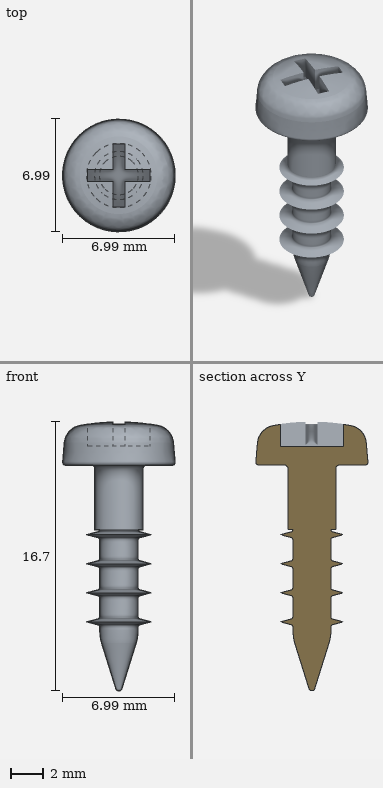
import cadquery as cq
import math

overall_length = 16.69

underside_z = 14.0
head_radius = 7.03 / 2
wall_taper = 5.0
dome_radius = 13.35
shoulder_round = 1.2
rim_round = 0.2
neck_fillet = 0.2

recess_length = 3.89
recess_width = 0.75
recess_depth = 1.5

shank_radius = 1.5
shank_length = 4.0
core_radius = 1.2

ring_count = 4
ring_pitch = 1.8
ring_radius = 2.0
ring_flank = 15.0
ring_fillet = 0.1
first_ring_z = 9.7

point_start_z = 3.79
point_half_angle = 17.4
tip_radius = 0.2

inner_corner_radius = recess_width / math.sqrt(2)
dome_center_z = overall_length - math.sqrt(dome_radius**2 - inner_corner_radius**2)
apex_z = dome_center_z + dome_radius
shank_end_z = underside_z - shank_length


def on_circle(center_r, center_z, radius, degrees):
    """Point on a circle in the radial plane, with the angle measured from the outward direction."""
    angle = math.radians(degrees)
    return center_r + radius * math.cos(angle), center_z + radius * math.sin(angle)


def revolve(profile):
    """Turn a closed radial profile around the screw axis."""
    return profile.close().revolve(360, (0, 0), (0, 1))


def make_head():
    slope = math.tan(math.radians(wall_taper))
    base_height = underside_z - dome_center_z
    a = 1 + slope**2
    b = base_height - head_radius * slope
    c = head_radius**2 + base_height**2 - dome_radius**2
    wall_height = (-b + math.sqrt(b**2 - a * c)) / a
    wall_top = (head_radius - wall_height * slope, underside_z + wall_height)
    dome_edge_angle = math.degrees(math.acos(wall_top[0] / dome_radius))
    dome_middle = on_circle(0, dome_center_z, dome_radius, (90 + dome_edge_angle) / 2)
    head = revolve(
        cq.Workplane("XZ")
        .moveTo(0, underside_z)
        .lineTo(head_radius, underside_z)
        .lineTo(*wall_top)
        .threePointArc(dome_middle, (0, apex_z))
    )
    head = head.edges("%CIRCLE").edges(cq.selectors.RadiusNthSelector(0)).fillet(shoulder_round)
    return head.faces("<Z").edges("%CIRCLE").fillet(rim_round)


def make_shank():
    neck_arc_middle = on_circle(
        shank_radius + neck_fillet, underside_z - neck_fillet, neck_fillet, 135
    )
    return revolve(
        cq.Workplane("XZ")
        .moveTo(0, shank_end_z)
        .lineTo(shank_radius, shank_end_z)
        .lineTo(shank_radius, underside_z - neck_fillet)
        .threePointArc(neck_arc_middle, (shank_radius + neck_fillet, underside_z))
        .lineTo(0, underside_z)
    )


def make_core():
    angle = math.radians(point_half_angle)
    tip_offset = (point_start_z - tip_radius) * math.sin(angle) + tip_radius
    blend_radius = (tip_offset - core_radius * math.cos(angle)) / (1 - math.cos(angle))
    blend = (core_radius - blend_radius, point_start_z, blend_radius)
    tip = (0, tip_radius, tip_radius)
    return revolve(
        cq.Workplane("XZ")
        .moveTo(0, shank_end_z)
        .lineTo(core_radius, shank_end_z)
        .lineTo(core_radius, point_start_z)
        .threePointArc(on_circle(*blend, -point_half_angle / 2), on_circle(*blend, -point_half_angle))
        .lineTo(*on_circle(*tip, -point_half_angle))
        .threePointArc(on_circle(*tip, -(90 + point_half_angle) / 2), (0, 0))
    )


def make_ring(center_z):
    flank = math.radians(ring_flank)
    fillet_center_r = core_radius + ring_fillet
    fillet_rise = (ring_radius - fillet_center_r) * math.tan(flank) + ring_fillet / math.cos(flank)
    upper = (fillet_center_r, center_z + fillet_rise, ring_fillet)
    lower = (fillet_center_r, center_z - fillet_rise, ring_fillet)
    flank_end = 270 - ring_flank
    fillet_middle = (180 + flank_end) / 2
    return revolve(
        cq.Workplane("XZ")
        .moveTo(0, center_z - fillet_rise)
        .lineTo(core_radius, center_z - fillet_rise)
        .threePointArc(on_circle(*lower, -fillet_middle), on_circle(*lower, -flank_end))
        .lineTo(ring_radius, center_z)
        .lineTo(*on_circle(*upper, flank_end))
        .threePointArc(on_circle(*upper, fillet_middle), (core_radius, center_z + fillet_rise))
        .lineTo(0, center_z + fillet_rise)
    )


def make_recess():
    plane = cq.Workplane("XY").workplane(offset=apex_z)
    arm_x = plane.rect(recess_length, recess_width).extrude(-recess_depth)
    arm_y = plane.rect(recess_width, recess_length).extrude(-recess_depth)
    return arm_x.union(arm_y)


result = make_head().cut(make_recess()).union(make_shank()).union(make_core())
for ring in range(ring_count):
    result = result.union(make_ring(first_ring_z - ring * ring_pitch))